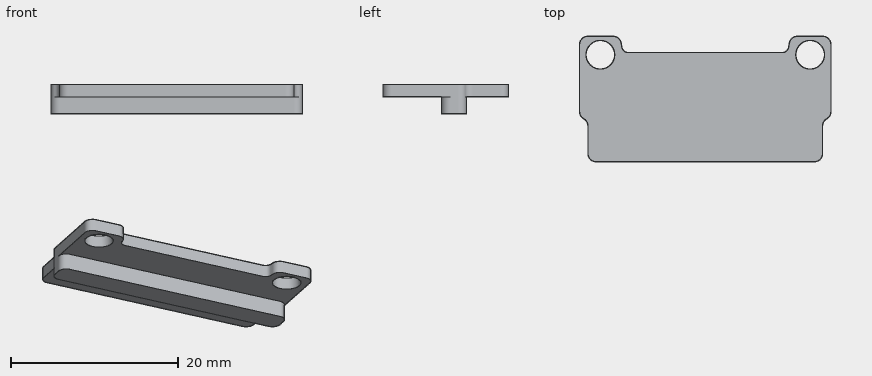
import cadquery as cq
import math

length = 30.0
depth = 15.0
plate_thickness = 1.5
rib_height = 2.0

rib_width = 3.0
rib_front = 5.0
corner_radius = rib_width / 3

side_step = corner_radius
ear_width = 5 * corner_radius
notch_depth = 1.95
notch_radius = 0.75
notch_wall_angle = math.radians(10)

hole_diameter = 3.4
hole_side_inset = 2.5
hole_rear_inset = 2.22

half_length = length / 2
half_front = half_length - side_step
shoulder_y = rib_front + corner_radius


def arc_point(center, radius, angle):
    """Point on a circle, with the angle in radians from +X."""
    return (center[0] + radius * math.cos(angle), center[1] + radius * math.sin(angle))


def add_arc(sketch, center, radius, start, end):
    """Continue the outline along an arc that starts at its current end."""
    middle = arc_point(center, radius, (start + end) / 2)
    return sketch.threePointArc(middle, arc_point(center, radius, end))


def make_half_plate():
    """Right half of the plate, with its front edge at Y = 0."""
    r = corner_radius
    quarter = math.pi / 2

    turn = math.acos(1 - side_step / (2 * r))
    shoulder_rise = 2 * r * math.sin(turn)
    lower_center = (half_front + r, shoulder_y - shoulder_rise)
    upper_center = (half_length - r, shoulder_y)

    lean = notch_wall_angle
    ear_center = (half_length - ear_width + r, depth - r)
    wall_top = arc_point(ear_center, r, math.pi - lean)
    floor_y = depth - notch_depth
    root_y = floor_y + notch_radius
    wall_bottom_y = root_y - notch_radius * math.sin(lean)
    wall_bottom_x = wall_top[0] - (wall_top[1] - wall_bottom_y) * math.tan(lean)
    root_center = (wall_bottom_x - notch_radius * math.cos(lean), root_y)

    outline = cq.Workplane("XY").lineTo(half_front - r, 0)
    outline = add_arc(outline, (half_front - r, r), r, -quarter, 0)
    outline = outline.lineTo(half_front, lower_center[1])
    outline = add_arc(outline, lower_center, r, math.pi, math.pi - turn)
    outline = add_arc(outline, upper_center, r, -turn, 0)
    outline = outline.lineTo(half_length, depth - r)
    outline = add_arc(outline, (half_length - r, depth - r), r, 0, quarter)
    outline = outline.lineTo(ear_center[0], depth)
    outline = add_arc(outline, ear_center, r, quarter, math.pi - lean)
    outline = outline.lineTo(wall_bottom_x, wall_bottom_y)
    outline = add_arc(outline, root_center, notch_radius, -lean, -quarter)
    return outline.lineTo(0, floor_y).close().extrude(plate_thickness)


def make_rib():
    """Full-length rib under the plate with rounded vertical corners."""
    return (
        cq.Workplane("XY")
        .center(0, rib_front + rib_width / 2)
        .rect(length, rib_width)
        .extrude(-rib_height)
        .edges("|Z")
        .fillet(corner_radius)
    )


def make_holes():
    """Through-hole cutters for the two ears."""
    hole_x = half_length - hole_side_inset
    hole_y = depth - hole_rear_inset
    return (
        cq.Workplane("XY")
        .pushPoints([(-hole_x, hole_y), (hole_x, hole_y)])
        .circle(hole_diameter / 2)
        .extrude(plate_thickness)
    )


half_plate = make_half_plate()
plate = half_plate.union(half_plate.mirror("YZ")).clean()
result = plate.cut(make_holes()).union(make_rib())